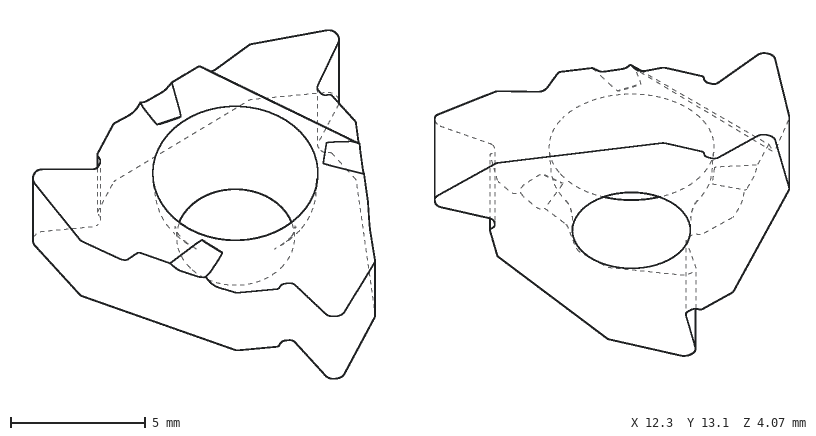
import cadquery as cq
import math


TOOTH_COUNT = 3
TOOTH_STEP = 360 / TOOTH_COUNT
THICKNESS = 4.07
INSCRIBED_RADIUS = 4.77

FLANK_ANGLE = 60.0
TIP_HEIGHT = 6.9
LEADING_TIP_RADIUS = 0.4
TRAILING_TIP_RADIUS = 0.35
SIDE_END_Y = 4.22
SHELF_HEIGHT = 5.19
ROOT_X = -1.38
ROOT_FLAT = 0.13
ROOT_BOTTOM = 4.94
ROOT_RADIUS = 0.25
SHELF_EDGE_RADIUS = 0.15
CORNER_RADIUS = 0.24

RAKE_ANGLE = 10.0
RAKE_TIP_Z = 3.98
WALL_ANGLE = 60.0
WALL_DIRECTION = 22.5
WALL_EDGE_Y = 1.87
WALL_ROOT_RADIUS = 0.33
WALL_EDGE_RADIUS = 0.16
CUTTER_SIZE = 10.51

BORE_DIAMETER = 4.4
HEAD_DIAMETER = 6.16
HEAD_DEPTH = 1.18
HEAD_TAPER = 4.0
HEAD_CORNER_RADIUS = 0.57
SEAT_RADIUS = 4.07

POCKET_HEADING = -14.0
POCKET_CENTER_Y = -0.21
POCKET_LENGTH = 1.4
POCKET_FLOOR_WIDTH = 0.63
POCKET_DEEP = 0.24
POCKET_SHALLOW = 0.033
POCKET_WALL_ANGLE = 40.0
POCKET_FILLET_RADIUS = 0.4


def polar(radius, degrees):
    angle = math.radians(degrees)
    return cq.Vector(radius * math.cos(angle), radius * math.sin(angle), 0)


def turn(point, tooth):
    """Plan position (x, y) of a first-tooth point on another tooth, counted clockwise."""
    radius = math.hypot(point.x, point.y)
    heading = math.degrees(math.atan2(point.y, point.x))
    turned = polar(radius, heading - tooth * TOOTH_STEP)
    return turned.x, turned.y


def on_every_tooth(cutter):
    """Copies of one cutter, one for each tooth."""
    return [cutter.rotate((0, 0, 0), (0, 0, 1), -TOOTH_STEP * tooth) for tooth in range(TOOTH_COUNT)]


def blank():
    """Prism with the three teeth; the outline runs clockwise."""
    slope = math.tan(math.radians(FLANK_ANGLE))

    first_center = cq.Vector(ROOT_X - ROOT_FLAT / 2, ROOT_BOTTOM + ROOT_RADIUS)
    flank_end = first_center + polar(ROOT_RADIUS, 270 - FLANK_ANGLE)
    first_middle = first_center + polar(ROOT_RADIUS, 270 - FLANK_ANGLE / 2)
    flat_start = first_center + polar(ROOT_RADIUS, 270)

    second_center = first_center + cq.Vector(ROOT_FLAT, 0)
    flat_end = second_center + polar(ROOT_RADIUS, 270)
    center_distance = ROOT_RADIUS + SHELF_EDGE_RADIUS
    center_drop = second_center.y - (SHELF_HEIGHT - SHELF_EDGE_RADIUS)
    joint_angle = math.degrees(math.asin(center_drop / center_distance))
    second_middle = second_center + polar(ROOT_RADIUS, (270 + 360 - joint_angle) / 2)
    joint = second_center + polar(ROOT_RADIUS, -joint_angle)
    edge_center = second_center + polar(center_distance, -joint_angle)
    edge_middle = edge_center + polar(SHELF_EDGE_RADIUS, (180 - joint_angle + 90) / 2)
    edge_end = edge_center + polar(SHELF_EDGE_RADIUS, 90)

    side_end = cq.Vector(-INSCRIBED_RADIUS, SIDE_END_Y)
    leading_tip = cq.Vector(side_end.x + (TIP_HEIGHT - SIDE_END_Y) / slope, TIP_HEIGHT)
    trailing_tip = cq.Vector(flank_end.x - (TIP_HEIGHT - flank_end.y) / slope, TIP_HEIGHT)
    side_normal = polar(1, TOOTH_STEP / 2)
    shelf_end = cq.Vector((INSCRIBED_RADIUS - SHELF_HEIGHT * side_normal.y) / side_normal.x, SHELF_HEIGHT)

    outline = cq.Workplane("XY").moveTo(*turn(shelf_end, -1))
    for tooth in range(TOOTH_COUNT):
        for corner in (side_end, leading_tip, trailing_tip, flank_end):
            outline = outline.lineTo(*turn(corner, tooth))
        outline = (
            outline.threePointArc(turn(first_middle, tooth), turn(flat_start, tooth))
            .lineTo(*turn(flat_end, tooth))
            .threePointArc(turn(second_middle, tooth), turn(joint, tooth))
            .threePointArc(turn(edge_middle, tooth), turn(edge_end, tooth))
        )
        if tooth < TOOTH_COUNT - 1:
            outline = outline.lineTo(*turn(shelf_end, tooth))
    body = outline.close().extrude(THICKNESS)

    rounds = (
        (side_end, CORNER_RADIUS),
        (shelf_end, CORNER_RADIUS),
        (leading_tip, LEADING_TIP_RADIUS),
        (trailing_tip, TRAILING_TIP_RADIUS),
    )
    for corner, radius in rounds:
        for tooth in range(TOOTH_COUNT):
            upright_edge = cq.NearestToPointSelector((*turn(corner, tooth), THICKNESS / 2))
            body = body.edges(upright_edge).fillet(radius)
    return body


def rake_cutter():
    """Material above one sloping rake face, bounded by the chip-breaker wall."""
    rake_slope = math.tan(math.radians(RAKE_ANGLE))
    rake_normal = cq.Vector(0, -rake_slope, 1).normalized()
    wall_tilt = math.radians(WALL_ANGLE)
    outward = polar(1, WALL_DIRECTION + 90)
    wall_normal = outward * math.sin(wall_tilt) + cq.Vector(0, 0, math.cos(wall_tilt))

    root_direction = wall_normal.cross(rake_normal).normalized()
    edge_point = cq.Vector(-INSCRIBED_RADIUS, WALL_EDGE_Y, THICKNESS)
    down_wall = outward * math.cos(wall_tilt) - cq.Vector(0, 0, math.sin(wall_tilt))
    rake_point = cq.Vector(0, TIP_HEIGHT, RAKE_TIP_Z)
    drop = (rake_point - edge_point).dot(rake_normal) / down_wall.dot(rake_normal)
    root_point = edge_point + down_wall * drop

    rake_direction = rake_normal.cross(root_direction)
    section = cq.Plane(root_point.toTuple(), rake_direction.toTuple(), root_direction.toTuple())
    wall_angle = math.degrees(rake_direction.getAngle(down_wall * -1))
    wall_top = polar(CUTTER_SIZE, wall_angle)
    wedge = (
        cq.Workplane(section)
        .polyline([(0, 0), (CUTTER_SIZE, 0), (CUTTER_SIZE, wall_top.y), (wall_top.x, wall_top.y)])
        .close()
        .extrude(CUTTER_SIZE, both=True)
    )
    return wedge.edges(cq.NearestToPointSelector(root_point.toTuple())).fillet(WALL_ROOT_RADIUS)


def round_wall_edges(body):
    """Small round where each chip-breaker wall meets the top face."""
    along_edge = polar(INSCRIBED_RADIUS, WALL_DIRECTION)
    edge_point = cq.Vector(-INSCRIBED_RADIUS, WALL_EDGE_Y, THICKNESS) + along_edge
    for tooth in range(TOOTH_COUNT):
        wall_edge = cq.NearestToPointSelector((*turn(edge_point, tooth), THICKNESS))
        body = body.edges(wall_edge).fillet(WALL_EDGE_RADIUS)
    return body


def screw_seat():
    """Tapered head recess, convex seat and bore, revolved about the axis."""
    bore_radius = BORE_DIAMETER / 2
    head_radius = HEAD_DIAMETER / 2
    seat_top = cq.Vector(
        head_radius - HEAD_DEPTH * math.tan(math.radians(HEAD_TAPER)), THICKNESS - HEAD_DEPTH
    )

    seat_turn = math.degrees(math.acos(1 - (seat_top.x - bore_radius) / SEAT_RADIUS))
    seat_center = seat_top + polar(SEAT_RADIUS, -seat_turn)
    seat_middle = seat_center + polar(SEAT_RADIUS, 180 - seat_turn / 2)
    cutter = (
        cq.Workplane("XZ")
        .lineTo(bore_radius, 0)
        .lineTo(bore_radius, seat_center.y)
        .threePointArc((seat_middle.x, seat_middle.y), (seat_top.x, seat_top.y))
        .lineTo(head_radius, THICKNESS)
        .lineTo(0, THICKNESS)
        .close()
        .revolve(360, (0, 0), (0, 1))
    )
    seat_edge = cq.NearestToPointSelector((0, 0, seat_top.y))
    return cutter.edges("%CIRCLE").edges(seat_edge).fillet(HEAD_CORNER_RADIUS)


def pocket_cutter():
    """Trough whose floor falls toward the side face; its walls lean outward."""
    across = polar(1, POCKET_HEADING + 90)
    heading = polar(1, POCKET_HEADING)
    ramp = (POCKET_DEEP - POCKET_SHALLOW) / POCKET_LENGTH
    inward = (heading + cq.Vector(0, 0, ramp)).normalized()
    deep_point = cq.Vector(-INSCRIBED_RADIUS, POCKET_CENTER_Y, THICKNESS - POCKET_DEEP)
    section = cq.Plane(deep_point.toTuple(), across.toTuple(), inward.toTuple())

    wall_angle = math.radians(POCKET_WALL_ANGLE)
    fillet_run = POCKET_FILLET_RADIUS * math.tan(wall_angle / 2)
    half_floor = POCKET_FLOOR_WIDTH / 2 + fillet_run
    height = 2 * POCKET_DEEP
    half_top = half_floor + height / math.tan(wall_angle)
    trough = (
        cq.Workplane(section)
        .workplane(offset=-POCKET_LENGTH)
        .polyline([(-half_floor, 0), (half_floor, 0), (half_top, height), (-half_top, height)])
        .close()
        .extrude(2 * POCKET_LENGTH)
    )
    for side in (-half_floor, half_floor):
        floor_edge = cq.NearestToPointSelector((deep_point + across * side).toTuple())
        trough = trough.edges(floor_edge).fillet(POCKET_FILLET_RADIUS)
    return trough


result = blank()
for cutter in on_every_tooth(rake_cutter()):
    result = result.cut(cutter)
result = round_wall_edges(result)
result = result.cut(screw_seat())
for cutter in on_every_tooth(pocket_cutter()):
    result = result.cut(cutter)